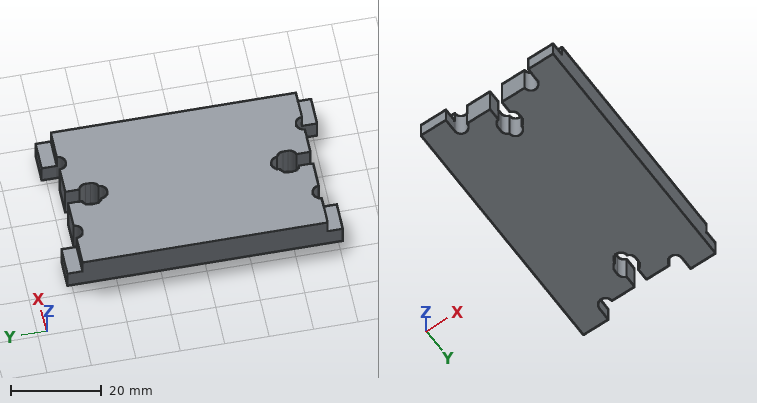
import cadquery as cq

length = 62.0
width = 35.8
thickness = 8.0

tab_width = 6.75
tab_length = 3.4
tab_height = 4.65

slot_width = 3.15
round_diameter = 3.35
chamber_width = 5.65
chamber_length = 4.45
chamber_inset = 8.75
slot_end_inset = 10.85

body_length = length - 2 * tab_length
body_end = body_length / 2
notch_x = width / 2 - tab_width - round_diameter / 2


def through_hole(diameter, x, y):
    return cq.Workplane("XY").center(x, y).circle(diameter / 2).extrude(thickness)


def keyhole(end):
    """Open slot with a wide, round-cornered chamber; end is +1 or -1 along Y."""
    slot_end = length / 2 - slot_end_inset
    slot_length = length / 2 - slot_end
    slot_center = end * (slot_end + slot_length / 2)
    slot = (
        cq.Workplane("XY")
        .center(0, slot_center)
        .rect(slot_width, slot_length)
        .extrude(thickness)
    )
    chamber = (
        cq.Workplane("XY")
        .center(0, end * (length / 2 - chamber_inset))
        .rect(chamber_width, chamber_length)
        .extrude(thickness)
        .edges("|Z")
        .fillet(round_diameter / 2)
    )
    rounded_end = through_hole(round_diameter, 0, end * slot_end)
    return slot.union(chamber).union(rounded_end)


plate = cq.Workplane("XY").rect(width, body_length).extrude(thickness)

for side in (-1, 1):
    strip_x = side * (width - tab_width) / 2
    strip = (
        cq.Workplane("XY")
        .center(strip_x, 0)
        .rect(tab_width, length)
        .extrude(tab_height)
    )
    plate = plate.union(strip)

for end in (-1, 1):
    plate = plate.cut(keyhole(end))
    for side in (-1, 1):
        plate = plate.cut(through_hole(round_diameter, side * notch_x, end * body_end))

result = plate